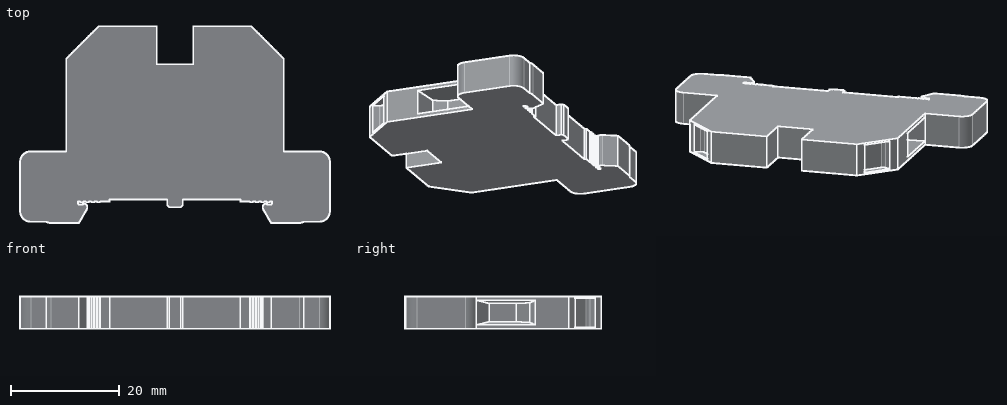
import cadquery as cq
import math


length = 57.0
height = 36.2
thickness = 6.0

body_half = 20.0
body_chamfer = 6.0
slot_half = 3.35
slot_depth = 7.0
ear_half = length / 2
ear_top = 13.2
ear_radius = 2.0

foot_step = 0.22
foot_step_x = 23.66
foot_flat_x = 22.8

hook_base_x = 17.65
hook_top = 3.6
hook_slope = math.radians(60)
hook_radius = 0.7

relief_floor = 3.45
relief_inner_x = 16.95
relief_floor_end_x = 17.75
relief_end_x = 17.85

ledge_y = 3.95
ledge_x = 12.0
seat_y = 4.3

tooth_count = 4
tooth_pitch = 1.03
tooth_first_x = 13.7
tooth_width = 0.7
tooth_flank = 0.17
tooth_height = 0.15

nub_half = 1.45
nub_bottom = 2.9
nub_chamfer = 0.4

funnel_top = 24.05
funnel_mouth_half = 2.28
funnel_depth = 5.7
funnel_shoulder_depth = 4.6
funnel_shoulder_y = 23.0
funnel_floor_top = 20.5
funnel_floor_bottom = 15.55
funnel_side_taper = math.radians(6)

pocket_center_y = 33.23
pocket_mouth = 5.2
pocket_width = 5.3
pocket_depth = 1.6
pocket_draft = math.radians(15)
pocket_fillet = 0.6


def make_plate_half():
    """The half of the plate at negative X, traced from the top centre anticlockwise."""
    corner = ear_radius * (1 - math.sqrt(0.5))
    foot_run = foot_step_x - foot_flat_x
    foot_angle = 2 * math.atan(foot_step / foot_run)
    foot_radius = foot_run / math.sin(foot_angle)
    foot_mid_x = foot_flat_x + foot_radius * math.sin(foot_angle / 2)
    foot_mid_y = foot_radius * (1 - math.cos(foot_angle / 2))

    tip_y = hook_top - hook_radius
    tip_x = hook_base_x - tip_y / math.tan(hook_slope) + hook_radius / math.sin(hook_slope)
    tip_start_x = tip_x - hook_radius * math.sin(hook_slope)
    tip_start_y = tip_y - hook_radius * math.cos(hook_slope)

    return (
        cq.Workplane("XY")
        .moveTo(0, height - slot_depth)
        .lineTo(-slot_half, height - slot_depth)
        .lineTo(-slot_half, height)
        .lineTo(-body_half + body_chamfer, height)
        .lineTo(-body_half, height - body_chamfer)
        .lineTo(-body_half, ear_top)
        .lineTo(-ear_half + ear_radius, ear_top)
        .threePointArc((-ear_half + corner, ear_top - corner), (-ear_half, ear_top - ear_radius))
        .lineTo(-ear_half, foot_step + ear_radius)
        .threePointArc((-ear_half + corner, foot_step + corner), (-ear_half + ear_radius, foot_step))
        .lineTo(-foot_step_x, foot_step)
        .threePointArc((-foot_mid_x, foot_mid_y), (-foot_flat_x, 0))
        .lineTo(-hook_base_x, 0)
        .lineTo(-tip_start_x, tip_start_y)
        .threePointArc(
            (-tip_x + hook_radius * math.cos(hook_slope / 2), tip_y + hook_radius * math.sin(hook_slope / 2)),
            (-tip_x, hook_top),
        )
        .lineTo(-relief_inner_x, hook_top)
        .lineTo(-relief_inner_x, relief_floor)
        .lineTo(-relief_floor_end_x, relief_floor)
        .lineTo(-relief_end_x, ledge_y)
        .lineTo(-ledge_x, ledge_y)
        .lineTo(-ledge_x, seat_y)
        .lineTo(-nub_half, seat_y)
        .lineTo(-nub_half, nub_bottom + nub_chamfer)
        .lineTo(-nub_half + nub_chamfer, nub_bottom)
        .lineTo(0, nub_bottom)
        .close()
        .extrude(thickness)
    )


def make_tooth(index):
    """One trapezoidal tooth that hangs from the ledge."""
    right = -tooth_first_x - index * tooth_pitch
    left = right - tooth_width
    tip = ledge_y - tooth_height
    outline = [
        (left, seat_y),
        (left, ledge_y),
        (left + tooth_flank, tip),
        (right - tooth_flank, tip),
        (right, ledge_y),
        (right, seat_y),
    ]
    return cq.Workplane("XY").polyline(outline).close().extrude(thickness)


def make_wire_funnel():
    """Funnel cavity: the XY profile, narrowed in Z by side walls that taper with depth."""
    mouth_x = -body_half
    floor_x = mouth_x + funnel_depth
    profile = [
        (mouth_x, ear_top),
        (mouth_x, funnel_top),
        (mouth_x + funnel_shoulder_depth, funnel_shoulder_y),
        (floor_x, funnel_floor_top),
        (floor_x, funnel_floor_bottom),
    ]
    floor_half = funnel_mouth_half - funnel_depth * math.tan(funnel_side_taper)
    middle = thickness / 2
    section = [
        (mouth_x, middle - funnel_mouth_half),
        (mouth_x, middle + funnel_mouth_half),
        (floor_x, middle + floor_half),
        (floor_x, middle - floor_half),
    ]
    profile_body = cq.Workplane("XY").polyline(profile).close().extrude(thickness)
    taper_body = cq.Workplane("XZ").polyline(section).close().extrude(-height)
    return profile_body.intersect(taper_body)


def make_screw_pocket():
    """Shallow pocket square to the chamfer, with drafted ends rounded into a flat floor."""
    mouth_half = pocket_mouth / 2
    floor_half = mouth_half - pocket_depth * math.tan(pocket_draft)
    center_x = pocket_center_y - (height - body_chamfer) - body_half
    plane = cq.Plane(
        origin=(center_x, pocket_center_y, (thickness - pocket_width) / 2),
        xDir=(1, 1, 0),
        normal=(0, 0, 1),
    )
    section = [
        (-mouth_half, 0),
        (mouth_half, 0),
        (floor_half, -pocket_depth),
        (-floor_half, -pocket_depth),
    ]
    pocket = cq.Workplane(plane).polyline(section).close().extrude(pocket_width)
    floor_edges = pocket.faces(cq.selectors.DirectionMinMaxSelector(cq.Vector(1, -1, 0))).edges("|Z")
    return floor_edges.fillet(pocket_fillet)


half = make_plate_half()
for tooth_index in range(tooth_count):
    half = half.union(make_tooth(tooth_index))
half = half.cut(make_wire_funnel()).cut(make_screw_pocket())

result = half.union(half.mirror("YZ"))